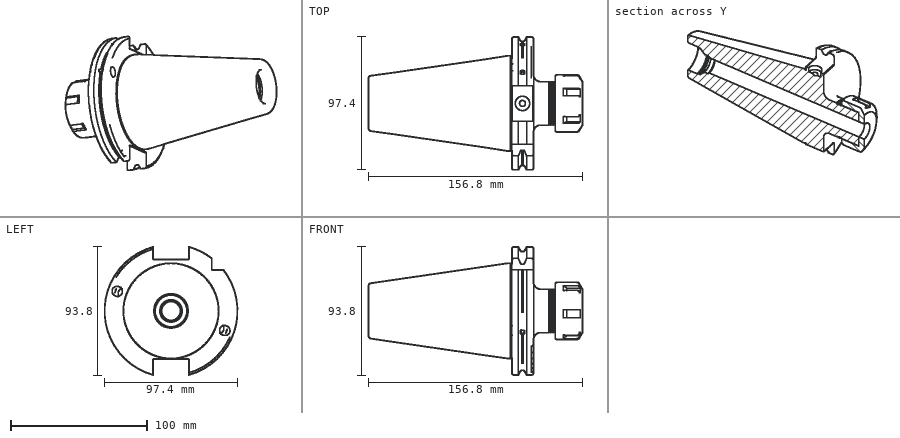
import cadquery as cq
import math

TOTAL_LENGTH = 156.8
CUT_CLEARANCE = 1.5
SELECTION_TOLERANCE = 0.02

TAPER_RATIO = 7 / 24
GAUGE_RADIUS = 35.0
TAPER_LENGTH = 102.1
TAPER_END_FILLET = 2.4
RELIEF_START = 103.7
RELIEF_DEPTH = 0.5

FLANGE_BACK = 105.0
FLANGE_FRONT = 121.0
FLANGE_RADIUS = 48.7
FLANGE_FILLET = 1.5
GROOVE_CENTER = 112.8
GROOVE_WIDTH = 6.1
GROOVE_BOTTOM_RADIUS = 45.5
GROOVE_HALF_ANGLE = 30.0
GROOVE_FILLET = 1.1

SLOT_WIDTH = 26.2
TOP_SLOT_HEIGHT = 37.8
BOTTOM_SLOT_HEIGHT = 35.5
SLOT_CORNER_FILLET = 0.5
SLOT_FLOOR_CHAMFER = 0.5
NOTCH_OFFSET = 30.0

CHIP_HOLE_DIAMETER = 10.5
CHIP_HOLE_DEPTH = 3.8
CENTER_DIMPLE_DIAMETER = 4.4
CENTER_DIMPLE_DEPTH = 1.3

COOLANT_DIAMETER = 7.2
COOLANT_DEPTH = 12.5
COOLANT_RADIUS = 41.9
COOLANT_TILT = 20.0
COOLANT_ANGLES = (20.0, 200.0)
GROOVE_HOLE_DIAMETER = 3.3
GROOVE_HOLE_DEPTH = 2.4
INDEX_HOLE_ANGLE = 60.0

NECK_RADIUS = 16.0
NECK_FILLET = 5.0
THREAD_START = 132.0
THREAD_DEPTH = 1.0
THREAD_TURNS = 3

BORE_RADIUS = 6.9
ENTRY_RADIUS = 12.5
ENTRY_DEPTH = 8.8
ENTRY_FILLET = 1.5
BORE_THREAD_ROOT = 12.2
BORE_THREAD_CREST = 11.6
BORE_THREAD_PITCH = 1.0
BORE_THREAD_TURNS = 2
STEP_RADIUS = 8.2
STEP_LENGTH = 3.1

NUT_BACK = 136.6
NUT_RADIUS = 21.0
NUT_BACK_FILLET = 1.5
NUT_FRONT_FILLET = 2.2
NUT_CONE_LENGTH = 3.1
NUT_CONE_ANGLE = 60.0
NUT_LIP = 4.7
NUT_SLOT_COUNT = 6
NUT_SLOT_FIRST_ANGLE = 66.0
NUT_SLOT_WIDTH = 6.0
NUT_SLOT_START = 142.4
NUT_SLOT_RAMP = 2.8
NUT_SLOT_FLOOR = 18.5

TAPER_END_RADIUS = GAUGE_RADIUS - TAPER_LENGTH * TAPER_RATIO / 2
RELIEF_RADIUS = GAUGE_RADIUS - RELIEF_DEPTH
THREAD_PITCH = (NUT_BACK - THREAD_START) / THREAD_TURNS
HOLDER_FRONT = TOTAL_LENGTH - NUT_LIP


def revolve(profile):
    """Turn a profile drawn in the XZ plane about the X axis."""
    return profile.close().revolve(360, (0, 0, 0), (1, 0, 0))


def polar_direction(angle):
    """Radial direction in the YZ plane, measured from +Y toward +Z."""
    return cq.Vector(0, math.cos(math.radians(angle)), math.sin(math.radians(angle)))


def blind_hole(entry, direction, diameter, depth):
    """Cylinder that drills to a depth below its entry point and clears the surface above it."""
    overlap = diameter / 2
    start = entry - direction * overlap
    return cq.Workplane(cq.Solid.makeCylinder(diameter / 2, depth + overlap, start, direction))


def at_circle(workplane, x, radius):
    """Select the largest circular edge within the given axial position and radius."""
    reach = radius + SELECTION_TOLERANCE
    corner = (x - SELECTION_TOLERANCE, -reach, -reach)
    opposite = (x + SELECTION_TOLERANCE, reach, reach)
    edges = workplane.edges(cq.selectors.BoxSelector(corner, opposite, boundingbox=True))
    return edges.edges(cq.selectors.RadiusNthSelector(-1))


def taper_shank():
    profile = (
        cq.Workplane("XZ")
        .lineTo(0, TAPER_END_RADIUS)
        .lineTo(TAPER_LENGTH, GAUGE_RADIUS)
        .lineTo(RELIEF_START, GAUGE_RADIUS)
        .lineTo(RELIEF_START + RELIEF_DEPTH, RELIEF_RADIUS)
        .lineTo(FLANGE_BACK, RELIEF_RADIUS)
        .lineTo(FLANGE_BACK, 0)
    )
    return at_circle(revolve(profile), 0, TAPER_END_RADIUS).fillet(TAPER_END_FILLET)


def flange():
    width = FLANGE_FRONT - FLANGE_BACK
    disc = cq.Workplane("YZ", (FLANGE_BACK, 0, 0)).circle(FLANGE_RADIUS).extrude(width)
    disc = disc.edges().fillet(FLANGE_FILLET)
    depth = FLANGE_RADIUS - GROOVE_BOTTOM_RADIUS
    half_top = GROOVE_WIDTH / 2
    half_bottom = half_top - depth * math.tan(math.radians(GROOVE_HALF_ANGLE))
    groove = revolve(
        cq.Workplane("XZ")
        .moveTo(GROOVE_CENTER - half_bottom, GROOVE_BOTTOM_RADIUS)
        .lineTo(GROOVE_CENTER - half_top, FLANGE_RADIUS)
        .lineTo(GROOVE_CENTER - half_top, FLANGE_RADIUS + CUT_CLEARANCE)
        .lineTo(GROOVE_CENTER + half_top, FLANGE_RADIUS + CUT_CLEARANCE)
        .lineTo(GROOVE_CENTER + half_top, FLANGE_RADIUS)
        .lineTo(GROOVE_CENTER + half_bottom, GROOVE_BOTTOM_RADIUS)
    )
    for side in (-1, 1):
        bottom_edge_x = GROOVE_CENTER + side * half_bottom
        groove = at_circle(groove, bottom_edge_x, GROOVE_BOTTOM_RADIUS).fillet(GROOVE_FILLET)
    return disc.cut(groove)


def neck():
    root_radius = NECK_RADIUS + NECK_FILLET
    mid = NECK_FILLET * (1 - math.sqrt(0.5))
    profile = (
        cq.Workplane("XZ", (FLANGE_FRONT, 0, 0))
        .lineTo(0, root_radius)
        .threePointArc((mid, NECK_RADIUS + mid), (NECK_FILLET, NECK_RADIUS))
        .lineTo(THREAD_START - FLANGE_FRONT, NECK_RADIUS)
    )
    for turn in range(THREAD_TURNS):
        groove_start = THREAD_START - FLANGE_FRONT + turn * THREAD_PITCH
        profile = profile.lineTo(groove_start + THREAD_PITCH / 2, NECK_RADIUS - THREAD_DEPTH)
        profile = profile.lineTo(groove_start + THREAD_PITCH, NECK_RADIUS)
    profile = profile.lineTo(HOLDER_FRONT - FLANGE_FRONT, NECK_RADIUS).lineTo(HOLDER_FRONT - FLANGE_FRONT, 0)
    return revolve(profile)


def bore():
    thread_start = ENTRY_DEPTH + ENTRY_RADIUS - BORE_THREAD_CREST
    mid = ENTRY_FILLET * (1 - math.sqrt(0.5))
    profile = (
        cq.Workplane("XZ")
        .lineTo(0, ENTRY_RADIUS + ENTRY_FILLET)
        .threePointArc((mid, ENTRY_RADIUS + mid), (ENTRY_FILLET, ENTRY_RADIUS))
        .lineTo(ENTRY_DEPTH, ENTRY_RADIUS)
        .lineTo(thread_start, BORE_THREAD_CREST)
    )
    for turn in range(BORE_THREAD_TURNS):
        groove_start = thread_start + turn * BORE_THREAD_PITCH
        profile = profile.lineTo(groove_start + BORE_THREAD_PITCH / 2, BORE_THREAD_ROOT)
        profile = profile.lineTo(groove_start + BORE_THREAD_PITCH, BORE_THREAD_CREST)
    thread_end = thread_start + BORE_THREAD_TURNS * BORE_THREAD_PITCH
    step_start = thread_end + BORE_THREAD_CREST - STEP_RADIUS
    step_end = step_start + STEP_LENGTH
    profile = (
        profile.lineTo(step_start, STEP_RADIUS)
        .lineTo(step_end, STEP_RADIUS)
        .lineTo(step_end + STEP_RADIUS - BORE_RADIUS, BORE_RADIUS)
        .lineTo(HOLDER_FRONT, BORE_RADIUS)
        .lineTo(HOLDER_FRONT, 0)
    )
    return revolve(profile)


def flange_block(y_size, z_size, y_center, z_center):
    """Box that spans the width of the flange."""
    width = FLANGE_FRONT - FLANGE_BACK
    center = (FLANGE_BACK + width / 2, y_center, z_center)
    return cq.Workplane("XY").box(width, y_size, z_size).translate(center)


def driving_slot(floor_height):
    """Slot open toward +Z, with rounded floor corners and chamfers where the floor meets the flange faces."""
    slot = flange_block(SLOT_WIDTH, FLANGE_RADIUS, 0, floor_height + FLANGE_RADIUS / 2)
    slot = slot.edges("|X and <Z").fillet(SLOT_CORNER_FILLET)
    chamfer_width = SLOT_WIDTH - 2 * SLOT_CORNER_FILLET
    for face_x in (FLANGE_BACK, FLANGE_FRONT):
        inward = math.copysign(SLOT_FLOOR_CHAMFER, GROOVE_CENTER - face_x)
        chamfer = (
            cq.Workplane("XZ")
            .moveTo(face_x, floor_height - SLOT_FLOOR_CHAMFER)
            .lineTo(face_x + inward, floor_height)
            .lineTo(face_x, floor_height)
            .close()
            .extrude(chamfer_width / 2, both=True)
        )
        slot = slot.union(chamfer)
    return slot


def driving_slots():
    top = driving_slot(TOP_SLOT_HEIGHT)
    bottom = driving_slot(BOTTOM_SLOT_HEIGHT).rotate((0, 0, 0), (1, 0, 0), 180)
    return top.union(bottom)


def orientation_notch():
    size = FLANGE_RADIUS - NOTCH_OFFSET
    center = NOTCH_OFFSET + size / 2
    notch = flange_block(size, size, -center, center)
    return notch.edges("|X and <Z and >Y").fillet(SLOT_CORNER_FILLET)


def chip_hole():
    down = cq.Vector(0, 0, -1)
    entry = cq.Vector(GROOVE_CENTER, 0, TOP_SLOT_HEIGHT)
    hole = blind_hole(entry, down, CHIP_HOLE_DIAMETER, CHIP_HOLE_DEPTH)
    dimple = cq.Solid.makeCone(
        CENTER_DIMPLE_DIAMETER / 2, 0, CENTER_DIMPLE_DEPTH, entry + down * CHIP_HOLE_DEPTH, down
    )
    return hole.union(cq.Workplane(dimple))


def coolant_hole(angle):
    outward = polar_direction(angle)
    tilt = math.radians(COOLANT_TILT)
    direction = cq.Vector(math.cos(tilt), 0, 0) - outward * math.sin(tilt)
    entry = cq.Vector(FLANGE_BACK, 0, 0) + outward * COOLANT_RADIUS
    return blind_hole(entry, direction, COOLANT_DIAMETER, COOLANT_DEPTH)


def groove_hole(angle):
    outward = polar_direction(angle)
    entry = cq.Vector(GROOVE_CENTER, 0, 0) + outward * GROOVE_BOTTOM_RADIUS
    return blind_hole(entry, outward * -1, GROOVE_HOLE_DIAMETER, GROOVE_HOLE_DEPTH)


def make_holder():
    flange_ring = flange().cut(driving_slots()).cut(orientation_notch()).cut(chip_hole())
    for angle in COOLANT_ANGLES:
        flange_ring = flange_ring.cut(coolant_hole(angle)).cut(groove_hole(angle))
    flange_ring = flange_ring.cut(groove_hole(INDEX_HOLE_ANGLE))
    return taper_shank().union(flange_ring).union(neck()).cut(bore())


def nut_blank():
    cone_drop = NUT_CONE_LENGTH * math.tan(math.radians(NUT_CONE_ANGLE))
    cone_start = TOTAL_LENGTH - NUT_CONE_LENGTH
    blank = revolve(
        cq.Workplane("XZ")
        .moveTo(NUT_BACK, 0)
        .lineTo(NUT_BACK, NUT_RADIUS)
        .lineTo(cone_start, NUT_RADIUS)
        .lineTo(TOTAL_LENGTH, NUT_RADIUS - cone_drop)
        .lineTo(TOTAL_LENGTH, 0)
    )
    blank = at_circle(blank, NUT_BACK, NUT_RADIUS).fillet(NUT_BACK_FILLET)
    return at_circle(blank, cone_start, NUT_RADIUS).fillet(NUT_FRONT_FILLET)


def nut_slot(angle):
    """Spanner slot with a ramp at its closed end, open toward the front."""
    outer = NUT_RADIUS + CUT_CLEARANCE
    ramp_slope = NUT_SLOT_RAMP / (NUT_RADIUS - NUT_SLOT_FLOOR)
    slot = (
        cq.Workplane("XY")
        .moveTo(NUT_SLOT_START + NUT_SLOT_RAMP, NUT_SLOT_FLOOR)
        .lineTo(NUT_SLOT_START + NUT_SLOT_RAMP - ramp_slope * (outer - NUT_SLOT_FLOOR), outer)
        .lineTo(TOTAL_LENGTH, outer)
        .lineTo(TOTAL_LENGTH, NUT_SLOT_FLOOR)
        .close()
        .extrude(NUT_SLOT_WIDTH / 2, both=True)
    )
    return slot.rotate((0, 0, 0), (1, 0, 0), angle)


def make_nut():
    nut = nut_blank()
    for index in range(NUT_SLOT_COUNT):
        nut = nut.cut(nut_slot(NUT_SLOT_FIRST_ANGLE + index * 360 / NUT_SLOT_COUNT))
    socket = cq.Workplane("YZ", (NUT_BACK, 0, 0)).circle(NECK_RADIUS).extrude(HOLDER_FRONT - NUT_BACK)
    opening = cq.Workplane("YZ", (HOLDER_FRONT, 0, 0)).circle(BORE_RADIUS).extrude(NUT_LIP)
    return nut.cut(socket).cut(opening)


holder = make_holder()
nut = make_nut()

result = cq.Compound.makeCompound([holder.solids().val(), nut.solids().val()])